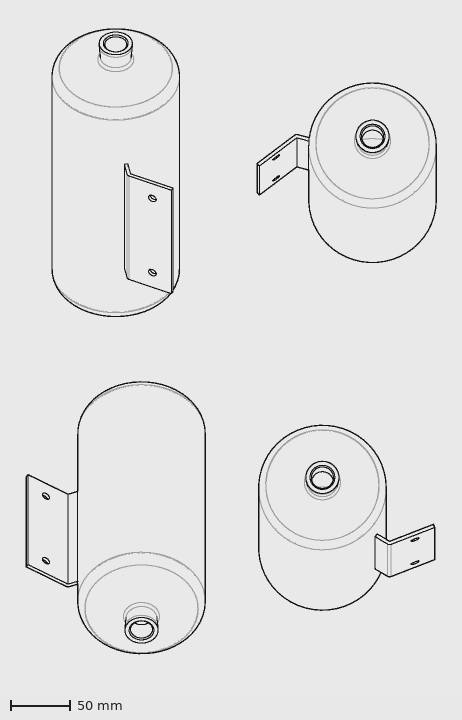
import cadquery as cq
import math

SHELL_DIAMETER = 108.0
WALL = 1.0
SHELL_RADIUS = SHELL_DIAMETER / 2
STRAIGHT_LENGTH = 223.3
CROWN_RADIUS = SHELL_DIAMETER
KNUCKLE_RADIUS = 0.1 * SHELL_DIAMETER

OVERALL_LENGTH = 300.0
COLLAR_DIAMETER = 28.0
COLLAR_LENGTH = 3.0
NECK_BASE_DIAMETER = 26.0
NECK_BASE_Z = 133.0
NECK_FILLET = 2.5
BORE_DIAMETER = 18.63
BORE_MOUTH_DIAMETER = 20.95
NOZZLE_END_Z = OVERALL_LENGTH / 2
COLLAR_BASE_Z = NOZZLE_END_Z - COLLAR_LENGTH

BRACKET_HEIGHT = 120.0
PLATE = 3.0
FLANGE_END_X = 80.0
FLANGE_FRONT_Y = -56.0
BEND_X = 40.0
HOLE_DIAMETER = 7.0
HOLE_X = 62.0
HOLE_SPACING = 86.0
BEND_Y = FLANGE_FRONT_Y + PLATE
LEG_ANGLE = math.atan2(-BEND_Y, BEND_X)


def polar(center, radius, angle):
    """Point (r, z) at radius from center, the angle measured from +Z towards +R."""
    return center[0] + radius * math.sin(angle), center[1] + radius * math.cos(angle)


KNUCKLE_CENTER = (SHELL_RADIUS - KNUCKLE_RADIUS, STRAIGHT_LENGTH / 2)
CROWN_ANGLE = math.asin(KNUCKLE_CENTER[0] / (CROWN_RADIUS - KNUCKLE_RADIUS))
CROWN_CENTER = (0.0, KNUCKLE_CENTER[1] - KNUCKLE_CENTER[0] / math.tan(CROWN_ANGLE))


def neck_fillet_points():
    """Start, middle and end of the arc that blends the tapered neck into the crown."""
    base_radius = NECK_BASE_DIAMETER / 2
    taper = math.atan2(COLLAR_DIAMETER / 2 - base_radius, COLLAR_BASE_Z - NECK_BASE_Z)
    neck_base = (base_radius, NECK_BASE_Z)
    offset_base = polar(neck_base, NECK_FILLET, taper + math.pi / 2)
    base_r = offset_base[0] - CROWN_CENTER[0]
    base_z = offset_base[1] - CROWN_CENTER[1]
    along = base_r * math.sin(taper) + base_z * math.cos(taper)
    across = base_r * math.cos(taper) - base_z * math.sin(taper)
    slide = math.sqrt((CROWN_RADIUS + NECK_FILLET) ** 2 - across**2) - along
    center = polar(offset_base, slide, taper)

    neck_side = taper - math.pi / 2
    crown_direction = math.atan2(center[0] - CROWN_CENTER[0], center[1] - CROWN_CENTER[1])
    crown_side = crown_direction - math.pi
    start = polar(center, NECK_FILLET, neck_side)
    middle = polar(center, NECK_FILLET, (neck_side + crown_side) / 2)
    end = polar(CROWN_CENTER, CROWN_RADIUS, crown_direction)
    return start, middle, end, crown_direction


def upper_head():
    """Thin-walled head with its nozzle, down to the start of the straight shell."""
    collar_radius = COLLAR_DIAMETER / 2
    bore_radius = BORE_DIAMETER / 2
    mouth_radius = BORE_MOUTH_DIAMETER / 2
    mouth_depth = mouth_radius - bore_radius
    fillet_start, fillet_middle, fillet_end, fillet_angle = neck_fillet_points()
    inner_crown = CROWN_RADIUS - WALL
    inner_knuckle = KNUCKLE_RADIUS - WALL
    bore_angle = math.asin(bore_radius / inner_crown)
    knuckle_middle_angle = (CROWN_ANGLE + math.pi / 2) / 2
    straight_z = STRAIGHT_LENGTH / 2

    outline = (
        cq.Workplane("XZ")
        .moveTo(mouth_radius, NOZZLE_END_Z)
        .lineTo(collar_radius, NOZZLE_END_Z)
        .lineTo(collar_radius, COLLAR_BASE_Z)
        .lineTo(*fillet_start)
        .threePointArc(fillet_middle, fillet_end)
        .threePointArc(
            polar(CROWN_CENTER, CROWN_RADIUS, (fillet_angle + CROWN_ANGLE) / 2),
            polar(CROWN_CENTER, CROWN_RADIUS, CROWN_ANGLE),
        )
        .threePointArc(
            polar(KNUCKLE_CENTER, KNUCKLE_RADIUS, knuckle_middle_angle),
            (SHELL_RADIUS, straight_z),
        )
        .lineTo(SHELL_RADIUS - WALL, straight_z)
        .threePointArc(
            polar(KNUCKLE_CENTER, inner_knuckle, knuckle_middle_angle),
            polar(CROWN_CENTER, inner_crown, CROWN_ANGLE),
        )
        .threePointArc(
            polar(CROWN_CENTER, inner_crown, (bore_angle + CROWN_ANGLE) / 2),
            polar(CROWN_CENTER, inner_crown, bore_angle),
        )
        .lineTo(bore_radius, NOZZLE_END_Z - mouth_depth)
        .close()
    )
    return outline.revolve(360, (0, 0, 0), (0, 1, 0))


def vessel():
    """Straight shell tube closed by a head at each end."""
    shell = (
        cq.Workplane("XY")
        .circle(SHELL_RADIUS)
        .circle(SHELL_RADIUS - WALL)
        .extrude(STRAIGHT_LENGTH / 2, both=True)
    )
    head = upper_head()
    return shell.union(head).union(head.mirror("XY"))


def bracket():
    """Bent plate: a radial leg welded into the shell wall and a drilled flange."""
    root_radius = SHELL_RADIUS - WALL / 2
    bend = (BEND_X, BEND_Y)
    leg_x = math.cos(LEG_ANGLE)
    leg_y = -math.sin(LEG_ANGLE)
    leg_start = (leg_x * SHELL_RADIUS / 2, leg_y * SHELL_RADIUS / 2)
    side_x = PLATE * leg_y
    side_y = -PLATE * leg_x
    bend_middle = (
        BEND_X - PLATE * math.sin(LEG_ANGLE / 2),
        BEND_Y - PLATE * math.cos(LEG_ANGLE / 2),
    )
    plate = (
        cq.Workplane("XY")
        .moveTo(*leg_start)
        .lineTo(*bend)
        .lineTo(FLANGE_END_X, BEND_Y)
        .lineTo(FLANGE_END_X, FLANGE_FRONT_Y)
        .lineTo(BEND_X, FLANGE_FRONT_Y)
        .threePointArc(bend_middle, (BEND_X + side_x, BEND_Y + side_y))
        .lineTo(leg_start[0] + side_x, leg_start[1] + side_y)
        .close()
        .extrude(BRACKET_HEIGHT / 2, both=True)
    )
    trim = cq.Workplane("XY").circle(root_radius).extrude(BRACKET_HEIGHT, both=True)
    hole_centers = [(HOLE_X, HOLE_SPACING / 2), (HOLE_X, -HOLE_SPACING / 2)]
    holes = (
        cq.Workplane("XZ", origin=(0, BEND_Y, 0))
        .pushPoints(hole_centers)
        .circle(HOLE_DIAMETER / 2)
        .extrude(PLATE)
    )
    return plate.cut(trim).cut(holes)


result = vessel().union(bracket())